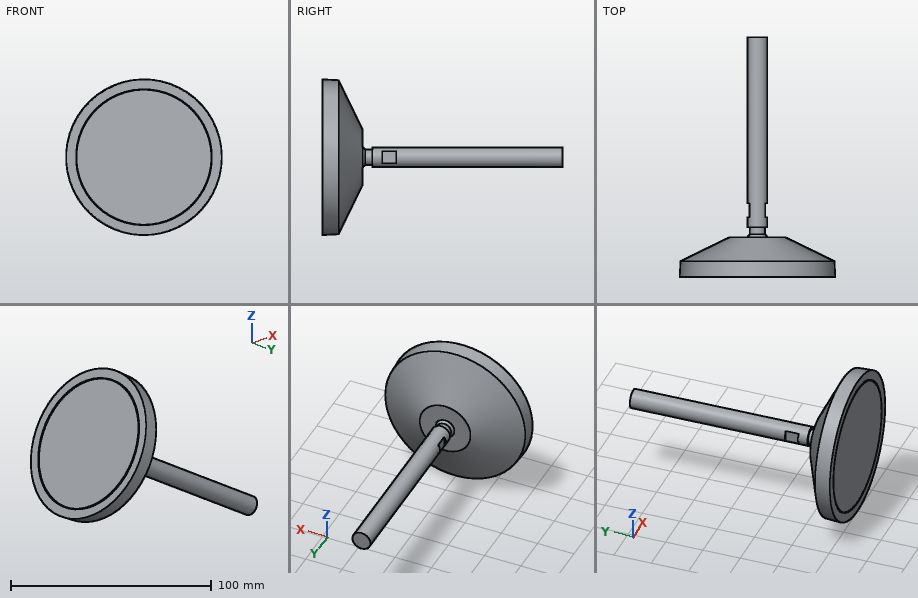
import cadquery as cq
import math

BASE_DIAMETER = 78.0
RIM_TOP_DIAMETER = 77.2
SHOULDER_DIAMETER = 28.0
RIM_HEIGHT = 8.0
FOOT_HEIGHT = 20.0

GROOVE_OUTER_DIAMETER = 68.0
GROOVE_INNER_DIAMETER = 67.5
GROOVE_DEPTH = 0.6

TOTAL_LENGTH = 120.0
BALL_DIAMETER = 12.2
BALL_CENTER_Y = 16.7
NECK_DIAMETER = 7.8
NECK_END = 25.0
STEM_DIAMETER = 10.0

FLAT_START = 30.0
FLAT_LENGTH = 7.0
ACROSS_FLATS = 8.0


def make_ball():
    """Full ball of the joint, also the shape of its socket."""
    return cq.Workplane("XY").sphere(BALL_DIAMETER / 2).translate((0, BALL_CENTER_Y, 0))


def make_groove():
    """Ring to cut from the underside of the foot."""
    return (
        cq.Workplane("XZ")
        .circle(GROOVE_OUTER_DIAMETER / 2)
        .circle(GROOVE_INNER_DIAMETER / 2)
        .extrude(-GROOVE_DEPTH)
    )


def make_foot():
    """Conical foot with a ball socket above and a ring groove below."""
    blank = (
        cq.Workplane("XY")
        .moveTo(0, 0)
        .lineTo(BASE_DIAMETER / 2, 0)
        .lineTo(RIM_TOP_DIAMETER / 2, RIM_HEIGHT)
        .lineTo(SHOULDER_DIAMETER / 2, FOOT_HEIGHT)
        .lineTo(0, FOOT_HEIGHT)
        .close()
        .revolve(360, (0, 0, 0), (0, 1, 0))
    )
    return blank.cut(make_ball()).cut(make_groove())


def make_flat_cutter(side):
    """Block that cuts one wrench flat; side is -1 for -X and 1 for +X."""
    center_x = side * (ACROSS_FLATS + STEM_DIAMETER) / 2
    center_y = FLAT_START + FLAT_LENGTH / 2
    return (
        cq.Workplane("XY")
        .box(STEM_DIAMETER, FLAT_LENGTH, STEM_DIAMETER)
        .translate((center_x, center_y, 0))
    )


def make_stud():
    """Ball, neck and stem revolved in one piece, then flattened for a wrench."""
    ball_radius = BALL_DIAMETER / 2
    neck_radius = NECK_DIAMETER / 2
    neck_start = BALL_CENTER_Y + math.sqrt(ball_radius ** 2 - neck_radius ** 2)
    stud = (
        cq.Workplane("XY")
        .moveTo(0, BALL_CENTER_Y - ball_radius)
        .threePointArc((ball_radius, BALL_CENTER_Y), (neck_radius, neck_start))
        .lineTo(neck_radius, NECK_END)
        .lineTo(STEM_DIAMETER / 2, NECK_END)
        .lineTo(STEM_DIAMETER / 2, TOTAL_LENGTH)
        .lineTo(0, TOTAL_LENGTH)
        .close()
        .revolve(360, (0, 0, 0), (0, 1, 0))
    )
    for side in (-1, 1):
        stud = stud.cut(make_flat_cutter(side))
    return stud


foot = make_foot()
stud = make_stud()

result = cq.Compound.makeCompound([foot.val(), stud.val()])